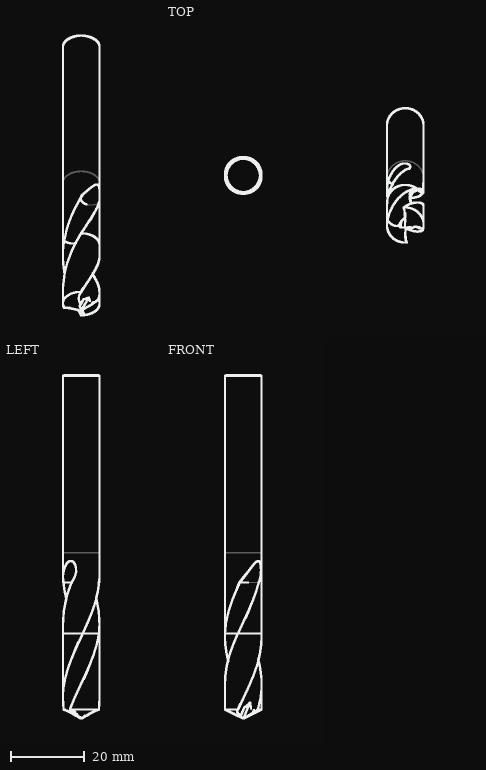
import cadquery as cq
import math


total_length = 93.0
shank_length = 48.0
head_length = 23.1
point_height = 2.5
helix_end = 36.8
shank_bottom = total_length - shank_length

drill_diameter = 10.0
neck_diameter = 9.9
drill_radius = drill_diameter / 2
neck_radius = neck_diameter / 2

shoulder_height = 0.2

chamfer_width = 0.5
chamfer_height = chamfer_width * math.tan(math.radians(30))

flute_count = 2
flute_radius = 2.8
flute_centre_radius = 4.2
flute_angle_at_point = 94.5
helix_lead = 66.7
flute_overrun = 2.0

runout_height = 9.0
runout_sideways_slope = 0.7
runout_outward_slope = 0.4

half_chisel_width = 0.15
valley_slope_x = 0.426
valley_slope_y = -0.17
gash_bottom = -1.0
gash_height = 6.0

heel_bend = (-1.0, -0.75)
heel_end = (-1.3, -3.4)
lip_end = (2.0, -1.3)


def flute_angle(height):
    """Direction from the axis to the flute centre, in degrees, at a given height."""
    return flute_angle_at_point + 360 * height / helix_lead


def flute_centre(height):
    angle = math.radians(flute_angle(height))
    return cq.Vector(flute_centre_radius * math.cos(angle), flute_centre_radius * math.sin(angle), height)


def prism(wire, direction):
    """Solid swept by moving a horizontal wire straight along a slanted direction."""
    return cq.Workplane(obj=cq.Solid.extrudeLinear(wire, [], direction))


def make_helical_flute():
    start = flute_centre(-flute_overrun)
    length = helix_end + flute_overrun
    twist = 360 * length / helix_lead
    section = cq.Workplane("XY", origin=(0, 0, start.z)).moveTo(start.x, start.y).circle(flute_radius)
    return section.twistExtrude(length, twist)


def make_flute_runout():
    angle = math.radians(flute_angle(helix_end))
    outward = cq.Vector(math.cos(angle), math.sin(angle), 0) * runout_outward_slope
    sideways = cq.Vector(-math.sin(angle), math.cos(angle), 0) * runout_sideways_slope
    upward = cq.Vector(0, 0, 1)
    section = cq.Wire.makeCircle(flute_radius, flute_centre(helix_end), upward)
    return prism(section, (outward + sideways + upward) * runout_height)


def make_gash():
    valley = cq.Vector(valley_slope_x, valley_slope_y, 1)
    valley_start = valley * gash_bottom - cq.Vector(0, half_chisel_width, 0)
    outline = [(0, 0), heel_bend, heel_end, lip_end]
    corners = [valley_start + cq.Vector(x, y, 0) for x, y in outline]
    return prism(cq.Wire.makePolygon(corners, close=True), valley * gash_height)


def cut_around_axis(body, cutter):
    """Cuts one copy of the cutter for each flute, evenly spaced around the axis."""
    for index in range(flute_count):
        body = body.cut(cutter.rotate((0, 0, 0), (0, 0, 1), index * 360 / flute_count))
    return body


def turned(profile):
    """Solid of revolution about Z from (radius, height) points."""
    return cq.Workplane("XZ").polyline(profile).close().revolve(360, (0, 0, 0), (0, 1, 0))


def make_cutting_head():
    blank = turned(
        [
            (0, 0),
            (drill_radius, point_height),
            (drill_radius, head_length),
            (0, head_length),
        ]
    )
    fluted = cut_around_axis(blank, make_helical_flute())
    return cut_around_axis(fluted, make_gash())


def make_holder():
    blank = turned(
        [
            (0, head_length),
            (neck_radius, head_length),
            (neck_radius, shank_bottom - shoulder_height),
            (drill_radius, shank_bottom),
            (drill_radius, total_length - chamfer_height),
            (drill_radius - chamfer_width, total_length),
            (0, total_length),
        ]
    )
    fluted = cut_around_axis(blank, make_helical_flute())
    return cut_around_axis(fluted, make_flute_runout())


cutting_head = make_cutting_head()
holder = make_holder()

result = cq.Compound.makeCompound([cutting_head.solids().val(), holder.solids().val()])